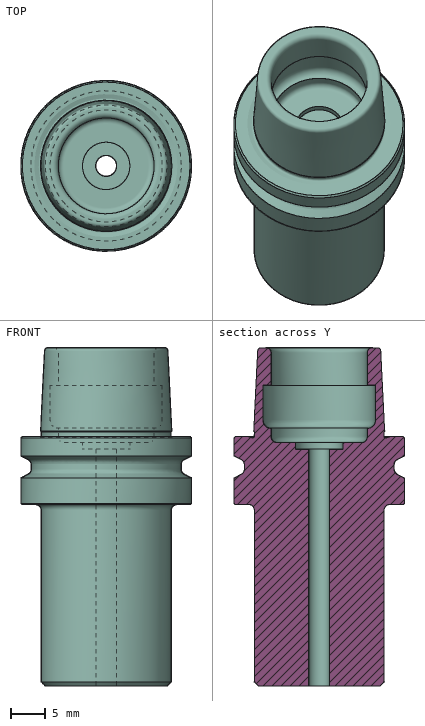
import cadquery as cq
import math

height = 49.5
flange_radius = 25.0 / 2

body_radius = 19.05 / 2
body_end_chamfer = 0.65
body_flange_fillet = 0.8

flange_bottom = 26.55
flange_top = 36.55
flange_top_chamfer = 0.25
flange_bottom_chamfer = 0.2

groove_radius = 22.0 / 2
groove_bottom = 30.45
groove_top = 33.65
groove_wall_angle = 27.0
groove_fillet = 0.7
groove_wall_rise = (flange_radius - groove_radius) * math.tan(math.radians(groove_wall_angle))
groove_floor_bottom = groove_bottom + groove_wall_rise
groove_floor_top = groove_top - groove_wall_rise

relief_radius = 20.9 / 2
relief_floor = flange_top - 0.3
neck_radius = 19.0 / 2
neck_fillet = 0.25

taper_bottom = 37.25
taper_bottom_radius = 9.6
taper_lip = 0.1
taper_top_radius = 9.0
rim_outer_round = 0.55

bore_radius = 14.0 / 2
bore_floor = height - 13.85
bore_mouth_round = 0.8
bore_floor_fillet = 0.8

clamp_groove_radius = 16.4 / 2
clamp_groove_top = height - 5.55
clamp_groove_bottom = height - 11.8
clamp_groove_fillet = 1.15

counterbore_radius = 6.95 / 2
counterbore_depth = 1.0
through_hole_radius = 3.0 / 2

length_tolerance = 0.0005


def revolve_profile(points):
    """Revolve a closed (radius, z) outline about the Z axis."""
    return cq.Workplane("XZ").polyline(points).close().revolve(360, (0, 0, 0), (0, 1, 0))


def cylinder(radius, bottom, top):
    """Upright cylinder on the Z axis between two heights."""
    return cq.Workplane("XY").workplane(offset=bottom).circle(radius).extrude(top - bottom)


def ring_edges(solid, radius, z):
    """Circular edges of the given radius lying at height z."""
    def matches(edge):
        if edge.geomType() != "CIRCLE":
            return False
        return abs(edge.radius() - radius) + abs(edge.Center().z - z) < length_tolerance

    return solid.newObject([edge for edge in solid.edges().vals() if matches(edge)])


def make_outside():
    """Solid body, flange and taper."""
    outside = revolve_profile([
        (0, 0),
        (body_radius - body_end_chamfer, 0),
        (body_radius, body_end_chamfer),
        (body_radius, flange_bottom),
        (flange_radius - flange_bottom_chamfer, flange_bottom),
        (flange_radius, flange_bottom + flange_bottom_chamfer),
        (flange_radius, groove_bottom),
        (groove_radius, groove_floor_bottom),
        (groove_radius, groove_floor_top),
        (flange_radius, groove_top),
        (flange_radius, flange_top - flange_top_chamfer),
        (flange_radius - flange_top_chamfer, flange_top),
        (relief_radius, flange_top),
        (neck_radius, relief_floor),
        (neck_radius, taper_bottom - taper_lip),
        (taper_bottom_radius, taper_bottom),
        (taper_top_radius, height),
        (0, height),
    ])
    rounded_rings = [
        (body_radius, flange_bottom, body_flange_fillet),
        (groove_radius, groove_floor_bottom, groove_fillet),
        (groove_radius, groove_floor_top, groove_fillet),
        (neck_radius, relief_floor, neck_fillet),
        (taper_top_radius, height, rim_outer_round),
    ]
    for radius, z, size in rounded_rings:
        outside = ring_edges(outside, radius, z).fillet(size)
    return outside


def make_bore():
    """Space removed by the bore and its clamping groove."""
    bore = cylinder(bore_radius, bore_floor, height)
    bore = ring_edges(bore, bore_radius, bore_floor).fillet(bore_floor_fillet)
    clamp_groove = cylinder(clamp_groove_radius, clamp_groove_bottom, clamp_groove_top)
    lower_edge = ring_edges(clamp_groove, clamp_groove_radius, clamp_groove_bottom)
    clamp_groove = lower_edge.fillet(clamp_groove_fillet)
    return bore.union(clamp_groove)


holder = make_outside().cut(make_bore())
holder = ring_edges(holder, bore_radius, height).fillet(bore_mouth_round)
holder = holder.cut(cylinder(counterbore_radius, bore_floor - counterbore_depth, bore_floor))
result = holder.cut(cylinder(through_hole_radius, 0, bore_floor))